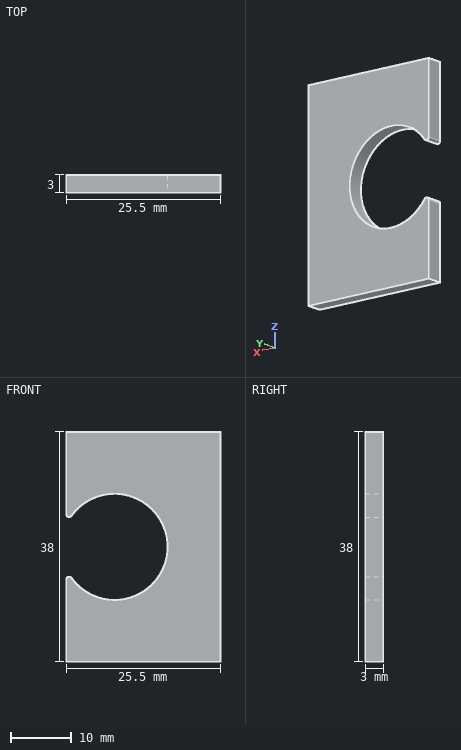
import cadquery as cq

width = 25.5
thickness = 3.0
height = 38.0

opening_radius = 8.75
opening_offset = 8.0
lip_radius = 0.5

left_edge_x = -width / 2
opening_center_x = left_edge_x + opening_offset


def make_plate():
    return cq.Workplane("XY").box(width, thickness, height)


def cut_opening(plate):
    opening = (
        cq.Workplane("XZ")
        .center(opening_center_x, 0)
        .circle(opening_radius)
        .extrude(thickness, both=True)
    )
    return plate.cut(opening)


def round_lips(plate):
    mouth_zone = cq.selectors.BoxSelector(
        (left_edge_x - lip_radius, -thickness, -opening_radius),
        (left_edge_x + lip_radius, thickness, opening_radius),
    )
    return plate.edges("|Y").edges(mouth_zone).fillet(lip_radius)


result = round_lips(cut_opening(make_plate()))